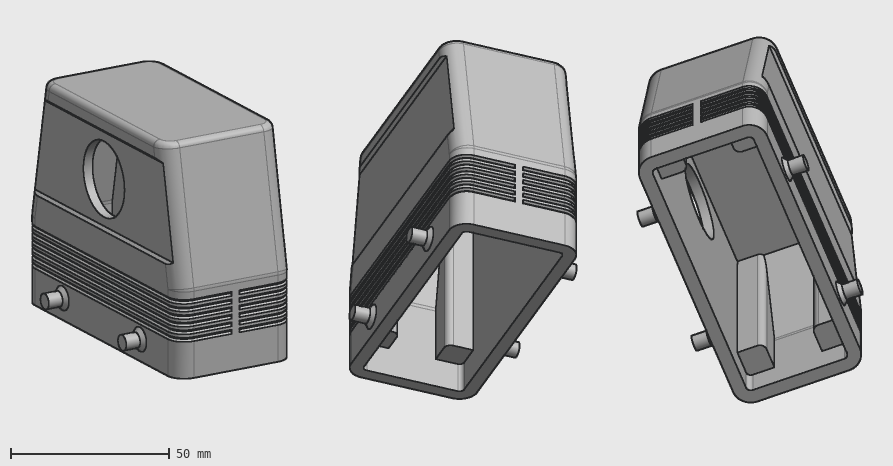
import cadquery as cq
import math

LENGTH = 93.5
WIDTH = 42.9
HEIGHT = 76.0
TOP_LENGTH = 75.4
SLOPE_START = 29.5
WALL = 4.4
CORNER_RADIUS = 6.0
ROOF_EDGE_RADIUS = 2.2
SLOPE_BLEND_RADIUS = 5.6

RECESS_DEPTH = 1.0
RECESS_BOTTOM = 36.9
RECESS_TOP = 70.3

ENTRY_DIAMETER = 25.2
ENTRY_HEIGHT = 53.6

GROOVE_COUNT = 6
GROOVE_PITCH = 2.5
LOWEST_GROOVE_HEIGHT = 13.0
GROOVE_HEIGHT = 1.4
GROOVE_DEPTH = 0.75
GROOVE_GAP = 2.8

PEG_SPACING = 47.5
PEG_HEIGHT = 7.3
PEG_DIAMETER = 5.1
PEG_SPAN = 56.0
COLLAR_BASE_DIAMETER = 8.0

POST_INNER_X = 33.2
POST_INNER_Y = 8.0
POST_BOTTOM = 10.3
POST_EDGE_RADIUS = 2.2

PICK_MARGIN = 0.9

SLOPE_ANGLE = math.atan2((LENGTH - TOP_LENGTH) / 2, HEIGHT - SLOPE_START)


def hood_form(inset):
    """Solid hood shape, with its sides and roof moved inwards by inset and its roof edge sharp."""
    half_length = LENGTH / 2 - inset
    half_width = WIDTH / 2 - inset
    top = HEIGHT - inset
    slope_start = SLOPE_START - inset * math.tan(SLOPE_ANGLE / 2)
    half_top = half_length - (top - slope_start) * math.tan(SLOPE_ANGLE)
    form = (
        cq.Workplane("XZ")
        .polyline([
            (-half_length, 0), (half_length, 0), (half_length, slope_start),
            (half_top, top), (-half_top, top), (-half_length, slope_start),
        ])
        .close()
        .extrude(half_width, both=True)
    )
    slope_breaks = cq.selectors.BoxSelector(
        (-LENGTH, -WIDTH, slope_start - PICK_MARGIN), (LENGTH, WIDTH, slope_start + PICK_MARGIN)
    )
    form = form.edges("|Y").edges(slope_breaks).fillet(SLOPE_BLEND_RADIUS)
    return form.faces("<Y or >Y").edges("not(#Z)").fillet(CORNER_RADIUS - inset)


def upright_block(length, width, bottom, top):
    """Plain block centred on the vertical axis, between two heights."""
    return (
        cq.Workplane("XY")
        .workplane(offset=bottom)
        .rect(length, width)
        .extrude(top - bottom)
    )


def wall_recess():
    """Cutter for the front recess: a full-length slab with 45-degree upper and lower sides."""
    face = -WIDTH / 2
    floor = face + RECESS_DEPTH
    return (
        cq.Workplane("YZ")
        .polyline([
            (face, RECESS_BOTTOM), (floor, RECESS_BOTTOM + RECESS_DEPTH),
            (floor, RECESS_TOP - RECESS_DEPTH), (face, RECESS_TOP),
        ])
        .close()
        .extrude(LENGTH / 2, both=True)
    )


def skirt_outline(bottom):
    """Rounded rectangle of the skirt, drawn at the given height."""
    return (
        cq.Workplane("XY")
        .workplane(offset=bottom)
        .sketch()
        .rect(LENGTH, WIDTH)
        .vertices()
        .fillet(CORNER_RADIUS)
        .finalize()
    )


def groove(height):
    """V-groove cutter around the skirt, broken in the middle of both end walls."""
    half_height = GROOVE_HEIGHT / 2
    flank_angle = math.degrees(math.atan2(GROOVE_DEPTH, half_height))
    lower_core = skirt_outline(height - half_height).extrude(half_height, taper=flank_angle)
    core = lower_core.union(lower_core.mirror("XY", (0, 0, height)))
    band = skirt_outline(height - half_height).extrude(GROOVE_HEIGHT)
    gap = upright_block(LENGTH, GROOVE_GAP, height - half_height, height + half_height)
    return band.cut(core).cut(gap)


def corner_posts(cavity):
    """Four screw posts that fill the cavity corners down to POST_BOTTOM."""
    corners = upright_block(LENGTH, WIDTH, POST_BOTTOM, HEIGHT)
    middle_length = upright_block(2 * POST_INNER_X, WIDTH, POST_BOTTOM, HEIGHT)
    middle_width = upright_block(LENGTH, 2 * POST_INNER_Y, POST_BOTTOM, HEIGHT)
    blocks = corners.cut(middle_length).cut(middle_width)
    reach_x = POST_INNER_X + PICK_MARGIN
    reach_y = POST_INNER_Y + PICK_MARGIN
    inner_edges = cq.selectors.BoxSelector((-reach_x, -reach_y, 0), (reach_x, reach_y, HEIGHT))
    blocks = blocks.edges("|Z").edges(inner_edges).fillet(POST_EDGE_RADIUS)
    return cavity.intersect(blocks)


def peg_pair(x):
    """Pegs at x on the front and back walls, each standing on a 45-degree collar."""
    collar_length = (COLLAR_BASE_DIAMETER - PEG_DIAMETER) / 2
    root = WIDTH / 2 - WALL / 2
    face = WIDTH / 2
    front_peg = (
        cq.Workplane("XY")
        .polyline([
            (0, -root), (COLLAR_BASE_DIAMETER / 2, -root), (COLLAR_BASE_DIAMETER / 2, -face),
            (PEG_DIAMETER / 2, -face - collar_length), (PEG_DIAMETER / 2, -PEG_SPAN / 2),
            (0, -PEG_SPAN / 2),
        ])
        .close()
        .revolve(360, (0, 0, 0), (0, 1, 0))
        .translate((x, 0, PEG_HEIGHT))
    )
    return front_peg.union(front_peg.mirror("XZ"))


body = hood_form(0).faces(">Z").edges().fillet(ROOF_EDGE_RADIUS)
recess = wall_recess()
body = body.cut(recess).cut(recess.mirror("XZ"))
for index in range(GROOVE_COUNT):
    body = body.cut(groove(LOWEST_GROOVE_HEIGHT + index * GROOVE_PITCH))

inside = hood_form(WALL)
body = body.cut(inside.cut(corner_posts(inside)))

entry = (
    cq.Workplane("XZ")
    .center(0, ENTRY_HEIGHT)
    .circle(ENTRY_DIAMETER / 2)
    .extrude(WIDTH / 2)
)
body = body.cut(entry)

for side in (-1, 1):
    body = body.union(peg_pair(side * PEG_SPACING / 2))

result = body